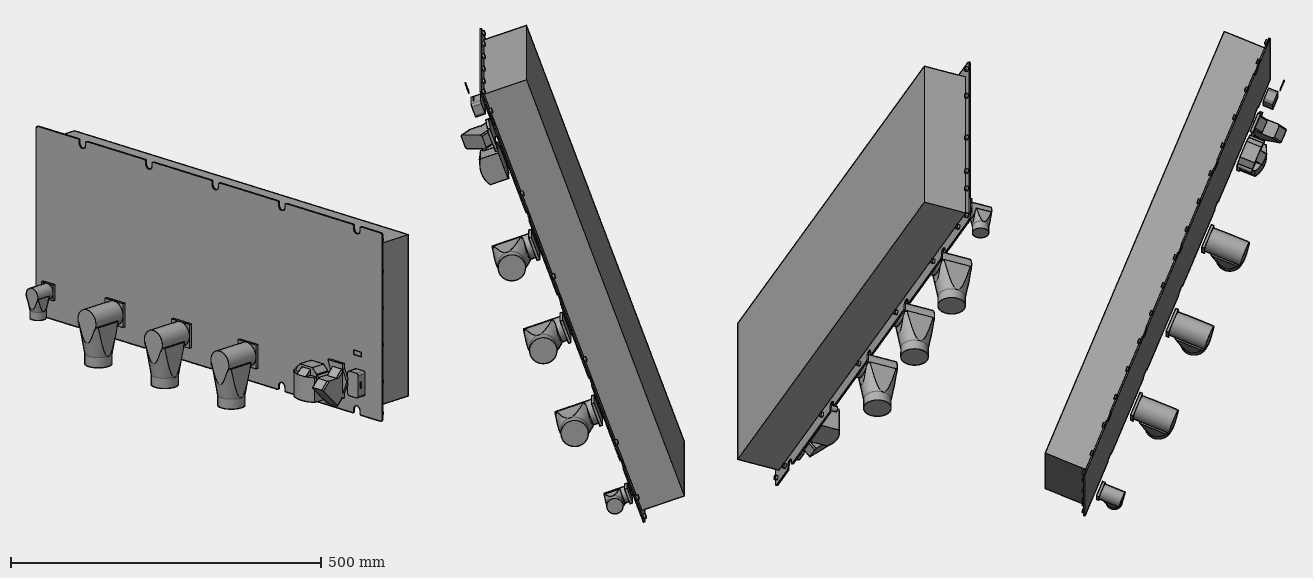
import cadquery as cq
import math


panel_width = 780.0
panel_height = 320.5
panel_thickness = 2.0
panel_corner_radius = 5.0

stud_pitch = 50.0
stud_diameter = 8.0
stud_length = 4.0
stud_row_z = 147.5
stud_column_x = 384.0
top_stud_steps = range(-7, 8)
bottom_stud_steps = [-7, -5, -2, 1, 4, 7]
left_stud_heights = [93.5, 9.0, -58.5, -93.5]
right_stud_heights = [93.5, 31.0, -31.0, -93.5]

notch_pitch = 3 * stud_pitch
first_notch_x = -285.5
last_notch_x = 333.0
notch_centres = [first_notch_x + i * notch_pitch for i in range(4)] + [last_notch_x]
notch_radius = 7.0
notch_depth = 14.0
notch_mouth_radius = 3.0

box_width = 753.0
box_height = 274.5
box_back_y = 75.0

mount_y = -9.0
flange_thickness = 5.0
flange_front_y = mount_y - flange_thickness

large_elbow_first_x = -200.5
large_elbow_pitch = notch_pitch
large_elbow_count = 3

socket_x = 253.5
socket_z = -116.0
socket_depth = 26.0
socket_half_height = 28.0
socket_half_width = 23.5
socket_corner_cut = 9.0
socket_lobe_radius = 5.1
socket_lobe_x = 23.5
socket_lobe_z = 12.0
hood_top_z = 14.0
hood_side_depth = 30.5
hood_front_depth = 37.5
latch_width = 19.5
latch_top_z = 24.0

plug_x = 303.0
plug_z = -105.0
plug_flange_left = -21.0
plug_flange_waist = -12.5
plug_flange_corner = 12.5
plug_flange_right = 22.0
plug_flange_half_height = 29.25
plug_flange_shoulder = 20.0
plug_waist_half_height = 8.0
plug_body_top_z = 20.0
plug_heel_z = -40.5
plug_slope = 12.5
plug_step_depth = 21.0
plug_nose = 12.5
plug_body_half_width = 12.5
plug_edge_chamfer = 2.0

switch_x = 349.5
switch_z = -100.0
switch_width = 23.5
switch_height = 42.0
switch_depth = 16.0
switch_corner_radius = 4.0
tab_length = 2.0
tab_height = 10.0
tab_thickness = 1.5
tab_depth = 12.0
tab_offset_z = 1.0

label_x = 365.0
label_z = -42.0
label_y = -30.5
label_width = 17.0
label_height = 8.0
label_thickness = 1.0


def front_plane(x, y, z):
    """Workplane at a point: local x = +X, local y = +Z, extruding toward -Y."""
    return cq.Workplane("XZ", origin=(x, y, z))


def edge_notch(x):
    """Round-bottomed cutter for the panel's top edge, with a rounded mouth."""
    edge_z = panel_height / 2
    side = notch_radius
    mouth = notch_radius + notch_mouth_radius
    mouth_z = edge_z - notch_mouth_radius
    centre_z = edge_z - notch_depth + notch_radius
    bend = notch_mouth_radius * (1 - math.sqrt(0.5))
    return (
        front_plane(x, panel_thickness, 0)
        .moveTo(-mouth, edge_z)
        .threePointArc((-side - bend, edge_z - bend), (-side, mouth_z))
        .lineTo(-side, centre_z)
        .threePointArc((0, edge_z - notch_depth), (side, centre_z))
        .lineTo(side, mouth_z)
        .threePointArc((side + bend, edge_z - bend), (mouth, edge_z))
        .close()
        .extrude(panel_thickness)
    )


def make_panel():
    panel = (
        front_plane(0, panel_thickness, 0)
        .rect(panel_width, panel_height)
        .extrude(panel_thickness)
        .edges("|Y")
        .fillet(panel_corner_radius)
    )
    for x in notch_centres:
        notch = edge_notch(x)
        panel = panel.cut(notch).cut(notch.mirror("XY"))

    points = [(step * stud_pitch, stud_row_z) for step in top_stud_steps]
    points += [(step * stud_pitch, -stud_row_z) for step in bottom_stud_steps]
    points += [(sx * stud_column_x, sz * stud_row_z) for sx in (-1, 1) for sz in (-1, 1)]
    points += [(-stud_column_x, z) for z in left_stud_heights]
    points += [(stud_column_x, z) for z in right_stud_heights]
    studs = (
        front_plane(0, 0, 0)
        .pushPoints(points)
        .circle(stud_diameter / 2)
        .extrude(-(panel_thickness + stud_length))
    )
    return panel.union(studs)


def make_rear_box():
    return front_plane(0, box_back_y, 0).rect(box_width, box_height).extrude(box_back_y - panel_thickness)


def make_elbow(x, inlet_z, flange_size, front_y, outlet_y, outlet_diameter, collar_top_z, bottom_z,
               hood_top, hood_top_radius):
    """Flanged horizontal tube turning down through a tapered hood into a round collar."""
    flange = front_plane(x, mount_y, inlet_z).rect(flange_size, flange_size).extrude(flange_thickness)
    tube = front_plane(x, mount_y, inlet_z).circle(flange_size / 2).extrude(mount_y - front_y)

    outlet_radius = outlet_diameter / 2
    outlet = (
        cq.Workplane("YZ", origin=(x, outlet_y, 0))
        .moveTo(0, bottom_z)
        .lineTo(-outlet_radius, bottom_z)
        .lineTo(-outlet_radius, collar_top_z)
        .lineTo(-hood_top_radius, hood_top)
        .lineTo(0, hood_top)
        .close()
        .revolve(360, (0, 0, 0), (0, 1, 0))
    )
    trim_depth = 2 * (outlet_y - front_y)
    trim = cq.Workplane("XY", origin=(x, outlet_y, bottom_z)).rect(outlet_diameter, trim_depth)
    outlet = outlet.intersect(trim.extrude(hood_top - bottom_z))
    return flange.union(tube).union(outlet)


def make_small_elbow():
    return make_elbow(
        x=-351.0, inlet_z=-108.5, flange_size=26.5, front_y=-49.0, outlet_y=-35.0, outlet_diameter=26.5,
        collar_top_z=-135.0, bottom_z=-149.0, hood_top=-111.5, hood_top_radius=19.0,
    )


def make_large_elbow(x):
    return make_elbow(
        x=x, inlet_z=-110.0, flange_size=40.5, front_y=-76.5, outlet_y=-50.0, outlet_diameter=44.5,
        collar_top_z=-170.0, bottom_z=-187.6, hood_top=-116.0, hood_top_radius=32.0,
    )


def socket_lobes(z, depth):
    """Pair of round lobes on the socket's sides at one height."""
    return (
        front_plane(socket_x, mount_y, socket_z)
        .pushPoints([(-socket_lobe_x, z), (socket_lobe_x, z)])
        .circle(socket_lobe_radius)
        .extrude(depth)
    )


def make_socket():
    housing = (
        front_plane(socket_x, mount_y, socket_z)
        .rect(2 * socket_half_width, 2 * socket_half_height)
        .extrude(socket_depth)
        .edges("|Y")
        .chamfer(socket_corner_cut)
    )
    housing_lobes = socket_lobes(socket_lobe_z, socket_depth)
    ears = socket_lobes(-socket_lobe_z, flange_thickness)
    hood = (
        cq.Workplane("XY", origin=(socket_x, mount_y, socket_z - socket_half_height))
        .moveTo(-socket_half_width, 0)
        .lineTo(-socket_half_width, -hood_side_depth)
        .threePointArc((0, -hood_front_depth), (socket_half_width, -hood_side_depth))
        .lineTo(socket_half_width, 0)
        .close()
        .extrude(socket_half_height + hood_top_z)
    )
    latch = (
        cq.Workplane("YZ", origin=(socket_x, mount_y, socket_z))
        .moveTo(-socket_depth, hood_top_z)
        .lineTo(-socket_depth, latch_top_z)
        .lineTo(-hood_front_depth, hood_top_z)
        .close()
        .extrude(latch_width / 2, both=True)
    )
    return housing.union(housing_lobes).union(ears).union(hood).union(latch)


def make_plug():
    height = plug_flange_half_height
    flange = (
        front_plane(plug_x, mount_y, plug_z)
        .polyline([
            (plug_flange_left, height),
            (plug_flange_corner, height),
            (plug_flange_corner, plug_flange_shoulder),
            (plug_flange_right, 0),
            (plug_flange_corner, -plug_flange_shoulder),
            (plug_flange_corner, -height),
            (plug_flange_left, -height),
            (plug_flange_waist, -plug_waist_half_height),
            (plug_flange_waist, plug_waist_half_height),
        ])
        .close()
        .extrude(flange_thickness)
    )
    back = flange_front_y - mount_y
    step_y = back - plug_slope
    step_z = plug_body_top_z - plug_slope
    nose_back_y = step_y - plug_step_depth
    nose_front_y = nose_back_y - plug_nose
    nose_z = step_z - plug_nose
    heel_drop = nose_z - plug_heel_z
    heel_y = nose_front_y + heel_drop
    body = (
        cq.Workplane("YZ", origin=(plug_x, mount_y, plug_z))
        .polyline([
            (back, plug_body_top_z),
            (step_y, step_z),
            (nose_back_y, step_z),
            (nose_front_y, nose_z),
            (heel_y, plug_heel_z),
            (back, plug_heel_z + back - heel_y),
        ])
        .close()
        .extrude(plug_body_half_width, both=True)
    )
    sloped_faces = body.faces(cq.selectors.ParallelDirSelector(cq.Vector(0, -1, 1)))
    body = sloped_faces.edges("not |X").chamfer(plug_edge_chamfer)
    return flange.union(body)


def make_switch():
    block = (
        front_plane(switch_x, mount_y, switch_z)
        .rect(switch_width, switch_height)
        .extrude(switch_depth)
        .edges("|Y")
        .fillet(switch_corner_radius)
    )
    tab_reach = switch_width / 2 + tab_length
    tab = cq.Workplane("XY").box(tab_reach, tab_thickness, tab_height, centered=(False, True, True))
    return block.union(tab.translate((switch_x, mount_y - tab_depth, switch_z + tab_offset_z)))


def make_label():
    return front_plane(label_x, label_y, label_z).rect(label_width, label_height).extrude(label_thickness)


panel = make_panel()
rear_box = make_rear_box()
small_elbow = make_small_elbow()
large_elbows = [
    make_large_elbow(large_elbow_first_x + i * large_elbow_pitch) for i in range(large_elbow_count)
]
socket = make_socket()
plug = make_plug()
switch = make_switch()
label = make_label()

result = cq.Compound.makeCompound([
    panel.val(),
    rear_box.val(),
    small_elbow.val(),
    *[elbow.val() for elbow in large_elbows],
    socket.val(),
    plug.val(),
    switch.val(),
    label.val(),
])